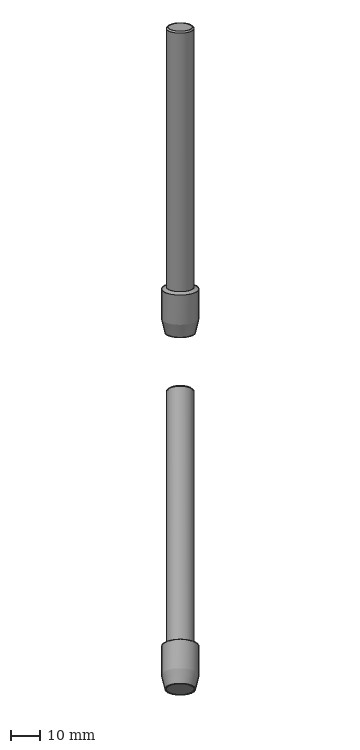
import cadquery as cq

total_length = 110.0
rod_diameter = 9.5
rod_chamfer = 0.5

collar_diameter = 12.6
nose_end_diameter = 10.3
nose_height = 5.0
barrel_height = 10.8
shoulder_height = 0.7

rod_radius = rod_diameter / 2
collar_radius = collar_diameter / 2
nose_end_radius = nose_end_diameter / 2
barrel_top = nose_height + barrel_height
collar_height = barrel_top + shoulder_height


def make_rod():
    """Straight round rod with a chamfered top end, running through the collar."""
    return (
        cq.Workplane("XY")
        .circle(rod_radius)
        .extrude(total_length)
        .faces(">Z")
        .chamfer(rod_chamfer)
    )


def make_collar():
    """Turned collar whose bore fits the rod and whose shoulder slopes down from it."""
    half_section = [
        (rod_radius, 0),
        (nose_end_radius, 0),
        (collar_radius, nose_height),
        (collar_radius, barrel_top),
        (rod_radius, collar_height),
    ]
    return (
        cq.Workplane("XZ")
        .polyline(half_section)
        .close()
        .revolve(360, (0, 0, 0), (0, 1, 0))
    )


rod = make_rod()
collar = make_collar()

result = cq.Compound.makeCompound([rod.val(), collar.val()])